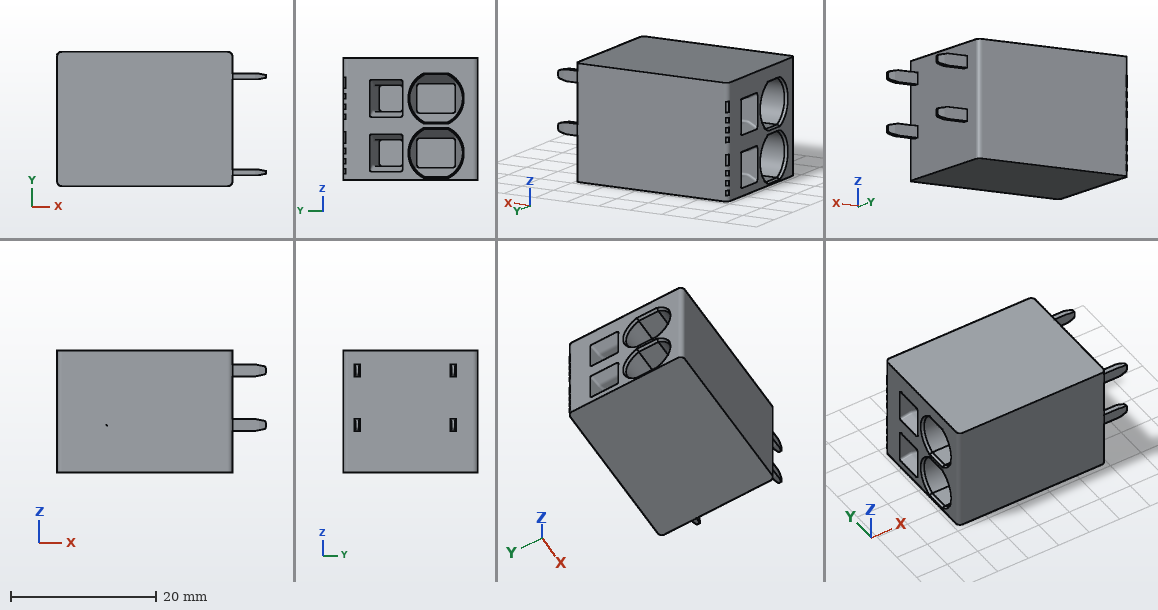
import cadquery as cq

total_length = 28.75
pin_length = 4.6
body_length = total_length - pin_length
body_width = 18.5
body_height = 16.8
edge_radius = 0.67

pole_pitch = 7.5
first_pole_z = 3.73
pole_heights = [first_pole_z + i * pole_pitch for i in range(2)]

entry_y = -3.52
entry_diameter = 7.3
entry_flat_height = 6.58
entry_chamfer = 0.19
entry_chamfer_depth = 0.45
entry_bore_depth = 6.0
funnel_depth = 2.1
seat_width = 5.28
seat_height = 4.05
funnel_corner_radius = 0.45

pocket_y = 3.35
pocket_width = 4.56
pocket_height = 5.14
throat_height = 3.62
mouth_depth = 1.45
throat_depth = 3.3
throat_blend_radius = 0.9
pocket_side_inset = 1.35
pocket_corner_radius = 0.34

pin_rows_y = (5.86, -7.34)
pin_offset_z = 2.82
pin_thickness = 0.8
pin_height = 1.68
side_taper_length = 1.0
edge_taper_length = 1.49
taper_slope = 0.2
tip_radius = 0.4

land_leg = 0.38
wide_land_height = 1.54
narrow_land_height = 0.7
wide_land_offset = 2.14
narrow_land_offset = 0.27
narrow_land_pitch = 1.39
narrow_land_count = 3


def make_body():
    """Block with rounded upright edges."""
    block = cq.Workplane("XY").box(body_length, body_width, body_height, centered=(False, True, False))
    return block.edges("|Z").fillet(edge_radius)


def flattened_disc(x, y, z, diameter, flat_height, depth):
    """Cylinder along +X whose top and bottom are cut flat."""
    cylinder = cq.Workplane("YZ", origin=(x, y, z)).circle(diameter / 2).extrude(depth)
    slab = cq.Workplane("YZ", origin=(x, y, z)).rect(diameter, flat_height).extrude(depth)
    return cylinder.intersect(slab)


def make_wire_entry(z):
    """Void of one wire entry: chamfered mouth, flattened bore and funnel."""
    bore = flattened_disc(0, entry_y, z, entry_diameter, entry_flat_height, entry_bore_depth)
    funnel = (
        cq.Workplane("YZ", origin=(entry_bore_depth, entry_y, z))
        .rect(entry_diameter, entry_flat_height)
        .workplane(offset=funnel_depth)
        .rect(seat_width, seat_height)
        .loft(ruled=True)
        .edges("not(#X)")
        .fillet(funnel_corner_radius)
    )
    funnel = funnel.intersect(
        flattened_disc(entry_bore_depth, entry_y, z, entry_diameter, entry_flat_height, funnel_depth)
    )
    mouth_cone = (
        cq.Workplane("YZ", origin=(0, entry_y, z))
        .circle(entry_diameter / 2 + entry_chamfer)
        .workplane(offset=entry_chamfer_depth)
        .circle(entry_diameter / 2)
        .loft(ruled=True)
    )
    mouth_wedge = (
        cq.Workplane("YZ", origin=(0, entry_y, z))
        .rect(2 * entry_diameter, entry_flat_height + 2 * entry_chamfer)
        .workplane(offset=entry_chamfer_depth)
        .rect(2 * entry_diameter, entry_flat_height)
        .loft(ruled=True)
    )
    return bore.union(mouth_cone.intersect(mouth_wedge)).union(funnel)


def make_release_pocket(z):
    """Void of one release pocket; its +Y wall slopes inward and its -Y wall is straight."""
    depth = mouth_depth + throat_depth
    inner_y = pocket_y - pocket_width / 2
    outer_y = pocket_y + pocket_width / 2
    plan = (
        cq.Workplane("XY", origin=(0, 0, z))
        .polyline([(0, inner_y), (0, outer_y), (depth, outer_y - pocket_side_inset), (depth, inner_y)])
        .close()
        .extrude(pocket_height / 2, both=True)
    )
    side = (
        cq.Workplane("XZ", origin=(0, outer_y, z))
        .polyline(
            [
                (0, -pocket_height / 2),
                (mouth_depth, -throat_height / 2),
                (depth, -throat_height / 2),
                (depth, throat_height / 2),
                (mouth_depth, throat_height / 2),
                (0, pocket_height / 2),
            ]
        )
        .close()
        .extrude(pocket_width)
    )
    throat_edges = cq.selectors.BoxSelector(
        (mouth_depth / 2, inner_y - pocket_width, z - pocket_height),
        (depth - throat_depth / 2, outer_y + pocket_width, z + pocket_height),
    )
    side = side.edges("|Y").edges(throat_edges).fillet(throat_blend_radius)
    pocket = plan.intersect(side)
    return pocket.edges("not(#X or |Y or |Z)").fillet(pocket_corner_radius)


def tapered_profile(plane, width, taper_length):
    """Pin outline along X on the given plane, centred on the pin axis."""
    half = width / 2
    tip_half = half - taper_slope * taper_length
    return cq.Workplane(plane).polyline(
        [
            (0, -half),
            (pin_length - taper_length, -half),
            (pin_length, -tip_half),
            (pin_length, tip_half),
            (pin_length - taper_length, half),
            (0, half),
        ]
    ).close()


def make_pin(y, z):
    """Flat pin tapered on all four sides, with a rounded tip."""
    broad_side = tapered_profile("XZ", pin_height, edge_taper_length)
    broad_side = broad_side.extrude(pin_thickness / 2, both=True).edges(">X and |Y").fillet(tip_radius)
    narrow_side = tapered_profile("XY", pin_thickness, side_taper_length).extrude(pin_height / 2, both=True)
    return broad_side.intersect(narrow_side).translate((body_length, y, z))


def make_land(z, height):
    """Triangular filler that turns a stretch of the rounded edge into a 45-degree flat."""
    side_y = body_width / 2
    return (
        cq.Workplane("XY", origin=(0, 0, z - height / 2))
        .polyline(
            [
                (0, side_y - land_leg),
                (land_leg, side_y),
                (land_leg, side_y - land_leg),
            ]
        )
        .close()
        .extrude(height)
    )


result = make_body()
for pole_z in pole_heights:
    result = result.union(make_land(pole_z + wide_land_offset, wide_land_height))
    for i in range(narrow_land_count):
        land_z = pole_z + narrow_land_offset - i * narrow_land_pitch
        result = result.union(make_land(land_z, narrow_land_height))
    for pin_y in pin_rows_y:
        result = result.union(make_pin(pin_y, pole_z + pin_offset_z))
    result = result.cut(make_wire_entry(pole_z))
    result = result.cut(make_release_pocket(pole_z))